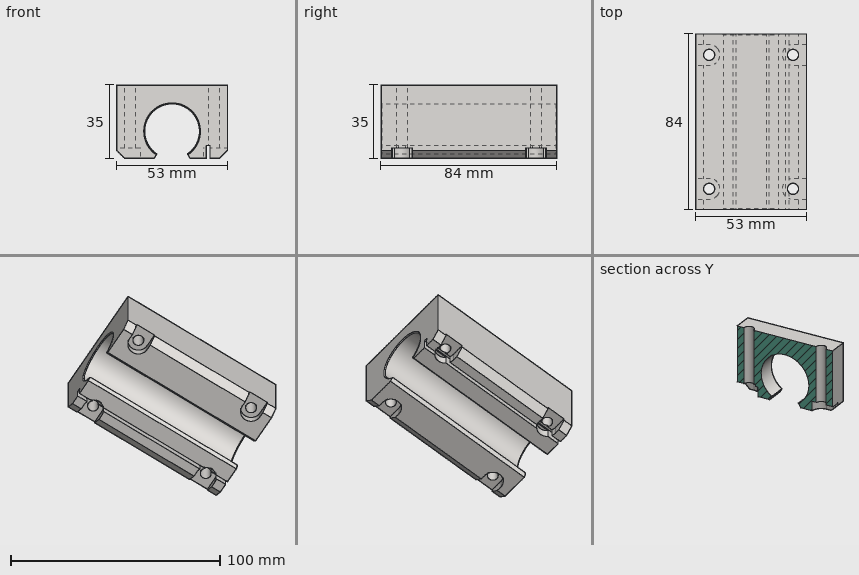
import cadquery as cq
import math

width = 53.0
length = 84
height = 35.0
edge_chamfer = 3.9

bore_diameter = 26.1
bore_chamfer = 0.5
bore_height = 13.0
mouth_half_width = 7.3
mouth_flare = 1.3

slit_x = 17.2
slit_width = 1.6
slit_depth = 6.1

hole_diameter = 5.2
hole_spacing_x = 40.1
hole_spacing_y = 64.0
recess_width = 10.1
recess_depth = 5

half_width = width / 2
bore_radius = bore_diameter / 2


def block():
    """Rectangular block with its two lower long edges chamfered."""
    body = cq.Workplane("XY").box(width, length, height, centered=(True, True, False))
    return body.edges("|Y and <Z").chamfer(edge_chamfer)


def bore():
    """Full-length bore with a countersunk rim at each end."""
    cutter = (
        cq.Workplane("XZ", origin=(0, length / 2, bore_height))
        .circle(bore_radius)
        .extrude(length)
    )
    for side in (-1, 1):
        rim = cq.Solid.makeCone(
            bore_radius + bore_chamfer,
            bore_radius,
            bore_chamfer,
            cq.Vector(0, side * length / 2, bore_height),
            cq.Vector(0, -side, 0),
        )
        cutter = cutter.union(cq.Workplane(rim))
    return cutter


def mouth():
    """Opening below the bore, flaring outwards towards the bottom face."""
    lip_height = bore_height - math.sqrt(bore_radius**2 - mouth_half_width**2)
    bottom_half_width = mouth_half_width + mouth_flare
    return (
        cq.Workplane("XZ", origin=(0, length / 2, 0))
        .moveTo(-bottom_half_width, 0)
        .lineTo(bottom_half_width, 0)
        .lineTo(mouth_half_width, lip_height)
        .lineTo(0, bore_height)
        .lineTo(-mouth_half_width, lip_height)
        .close()
        .extrude(length)
    )


def slit():
    """Narrow full-length slit rising from the bottom face."""
    return (
        cq.Workplane("XY")
        .box(slit_width, length, slit_depth, centered=(True, True, False))
        .translate((slit_x, 0, 0))
    )


def mounting_hole(x, y):
    """Vertical through hole with a round-ended recess running out to the side."""
    hole = cq.Workplane("XY").center(x, y).circle(hole_diameter / 2).extrude(height)
    round_end = cq.Workplane("XY").center(x, y).circle(recess_width / 2).extrude(recess_depth)
    run_out_length = half_width - abs(x)
    run_out_center = math.copysign((half_width + abs(x)) / 2, x)
    run_out = (
        cq.Workplane("XY")
        .center(run_out_center, y)
        .rect(run_out_length, recess_width)
        .extrude(recess_depth)
    )
    return hole.union(round_end).union(run_out)


result = block().cut(bore()).cut(mouth()).cut(slit())
for x_side in (-1, 1):
    for y_side in (-1, 1):
        result = result.cut(mounting_hole(x_side * hole_spacing_x / 2, y_side * hole_spacing_y / 2))